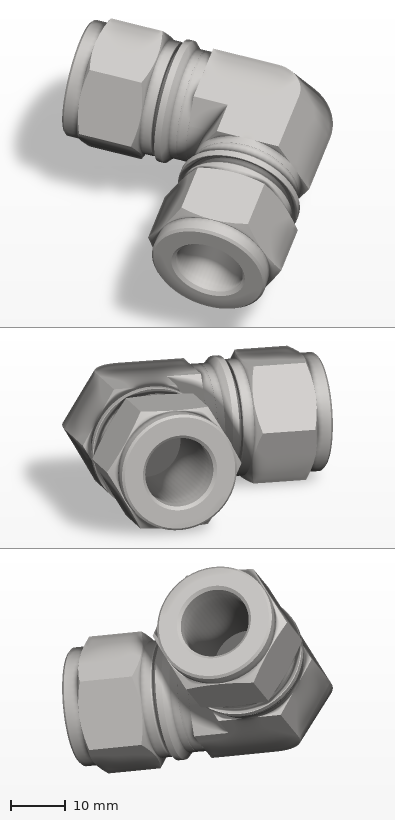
import cadquery as cq
import math


overall_length = 48.95
nut_across_flats = 22.1
nut_corner_radius = nut_across_flats / math.sqrt(3)
nut_front_bevel = 1.0
nut_back_bevel = 1.1

arm_length = overall_length - nut_corner_radius

nut_start = 3.0
nut_end = 14.95
collar_end = 17.05
flange_start = 17.95
flange_rim_end = 19.2
flange_end = 20.35
groove_start = 21.75
groove_end = 22.15
body_start = 23.75

end_diameter = 21.8
end_chamfer = 0.45
collar_diameter = 21.5
collar_chamfer = 0.2
neck_diameter = 18.9
flange_diameter = 23.0
flange_lip = 0.15
cup_floor_diameter = 20.05
cup_depth = 1.2
shank_diameter = 20.6
groove_diameter = 20.5

bore_diameter = 12.9
bore_chamfer = 0.6
bore_depth = 22.8

body_height = 20.45
body_corner_radius = body_height / math.sqrt(3)


def revolve_about_arm(points):
    """Revolve (distance from open end, radius) points about the X axis."""
    placed = [(distance - arm_length, radius) for distance, radius in points]
    return cq.Workplane("XY").polyline(placed).close().revolve(360, (0, 0, 0), (1, 0, 0))


def make_turned_sections():
    end_radius = end_diameter / 2
    collar_radius = collar_diameter / 2
    neck_radius = neck_diameter / 2
    flange_radius = flange_diameter / 2
    cup_floor_radius = cup_floor_diameter / 2
    shank_radius = shank_diameter / 2
    groove_radius = groove_diameter / 2
    return revolve_about_arm([
        (0, 0),
        (0, end_radius - end_chamfer),
        (end_chamfer, end_radius),
        (nut_start, end_radius),
        (nut_start, collar_radius),
        (collar_end - collar_chamfer, collar_radius),
        (collar_end, collar_radius - collar_chamfer / 2),
        (collar_end, neck_radius),
        (flange_start + cup_depth, neck_radius),
        (flange_start + cup_depth, cup_floor_radius),
        (flange_start, flange_radius - flange_lip),
        (flange_start, flange_radius),
        (flange_rim_end, flange_radius),
        (flange_end, shank_radius),
        (groove_start, shank_radius),
        (groove_start, groove_radius),
        (groove_end, groove_radius),
        (groove_end, shank_radius),
        (body_start, shank_radius),
        (body_start, 0),
    ])


def make_nut():
    hexagon = (
        cq.Workplane("YZ", origin=(nut_start - arm_length, 0, 0))
        .polygon(6, 2 * nut_corner_radius)
        .extrude(nut_end - nut_start)
    )
    bevel_envelope = revolve_about_arm([
        (nut_start, 0),
        (nut_start, nut_across_flats / 2),
        (nut_start + nut_front_bevel, nut_corner_radius),
        (nut_end - nut_back_bevel, nut_corner_radius),
        (nut_end, collar_diameter / 2),
        (nut_end, 0),
    ])
    return hexagon.intersect(bevel_envelope)


def make_body_leg():
    leg_length = arm_length - body_start
    half_height = body_height / 2
    half_flat = body_corner_radius / 2
    round_start_y = -half_height * math.cos(math.radians(30))
    round_start_z = half_height * math.sin(math.radians(30))
    return (
        cq.Workplane("YZ", origin=(-leg_length, 0, 0))
        .moveTo(body_corner_radius, 0)
        .lineTo(half_flat, half_height)
        .lineTo(-half_flat, half_height)
        .lineTo(round_start_y, round_start_z)
        .threePointArc((-half_height, 0), (round_start_y, -round_start_z))
        .lineTo(-half_flat, -half_height)
        .lineTo(half_flat, -half_height)
        .close()
        .extrude(leg_length)
    )


def make_body_corner():
    """Quarter turn of the outer half hexagon about the Z axis, from +Y to +X."""
    half_height = body_height / 2
    return (
        cq.Workplane("XZ")
        .moveTo(0, -half_height)
        .lineTo(body_corner_radius / 2, -half_height)
        .lineTo(body_corner_radius, 0)
        .lineTo(body_corner_radius / 2, half_height)
        .lineTo(0, half_height)
        .close()
        .revolve(90, (0, 0, 0), (0, 1, 0))
    )


def make_socket():
    bore_radius = bore_diameter / 2
    return revolve_about_arm([
        (0, 0),
        (0, bore_radius + bore_chamfer),
        (bore_chamfer, bore_radius),
        (bore_depth, bore_radius),
        (bore_depth, 0),
    ])


def swap_x_and_y(shape):
    """Turn a shape that is symmetric in Z from the -X arm onto the -Y arm."""
    return shape.rotate((0, 0, 0), (1, 1, 0), 180)


arm = make_turned_sections().union(make_nut()).union(make_body_leg()).cut(make_socket())
result = arm.union(swap_x_and_y(arm)).union(make_body_corner())